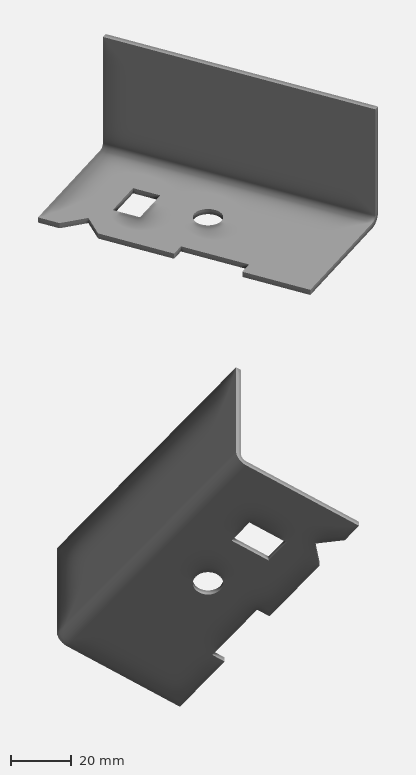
import cadquery as cq
import math

length = 100.0
depth = 50.0
height = 45.0
thickness = 2.0
inner_bend_radius = 2.0
outer_bend_radius = inner_bend_radius + thickness

window_left = 20.0
window_front = 15.0
window_width = 10.0
window_depth = 15.0
hole_diameter = 10.0
hole_x = length / 2
hole_y = depth / 2
notch_left = length / 2
notch_width = 25.0
notch_depth = 5.0

vee_center_x = 15.0
vee_side = 10.0
vee_depth = vee_side / math.sqrt(2)


def bent_sheet():
    """L-shaped sheet with concentric bend radii, extruded along X."""
    bend_center_y = depth - outer_bend_radius
    bend_center_z = outer_bend_radius
    diagonal = math.sqrt(0.5)
    outer_mid = (
        bend_center_y + outer_bend_radius * diagonal,
        bend_center_z - outer_bend_radius * diagonal,
    )
    inner_mid = (
        bend_center_y + inner_bend_radius * diagonal,
        bend_center_z - inner_bend_radius * diagonal,
    )
    return (
        cq.Workplane("YZ")
        .moveTo(0, 0)
        .lineTo(bend_center_y, 0)
        .threePointArc(outer_mid, (depth, bend_center_z))
        .lineTo(depth, height)
        .lineTo(depth - thickness, height)
        .lineTo(depth - thickness, bend_center_z)
        .threePointArc(inner_mid, (bend_center_y, thickness))
        .lineTo(0, thickness)
        .close()
        .extrude(length)
    )


def rectangular_cutter(left, front, width, cut_depth):
    """Block through the base, located by its front left corner."""
    return cq.Workplane("XY").box(width, cut_depth, thickness, centered=False).translate((left, front, 0))


def vee_cutter():
    """Triangular prism opening on the front edge."""
    return (
        cq.Workplane("XY")
        .moveTo(vee_center_x - vee_depth, 0)
        .lineTo(vee_center_x + vee_depth, 0)
        .lineTo(vee_center_x, vee_depth)
        .close()
        .extrude(thickness)
    )


window = rectangular_cutter(window_left, window_front, window_width, window_depth)
front_notch = rectangular_cutter(notch_left, 0, notch_width, notch_depth)
round_hole = cq.Workplane("XY").center(hole_x, hole_y).circle(hole_diameter / 2).extrude(thickness)

result = bent_sheet().cut(window).cut(front_notch).cut(round_hole).cut(vee_cutter())